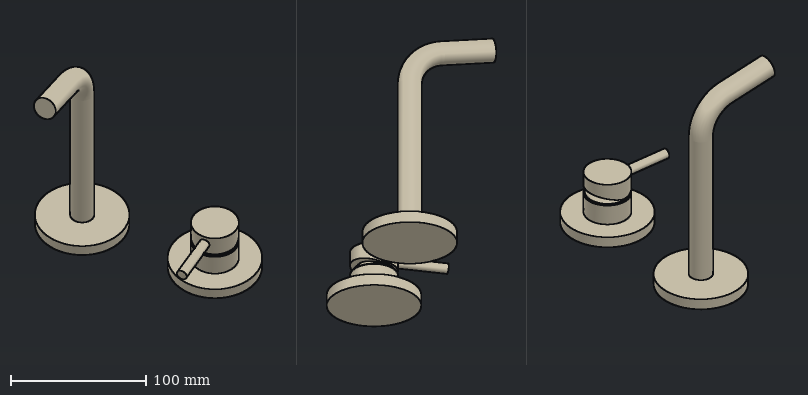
import cadquery as cq
import math

plate_diameter = 70.0
plate_height = 9.0
valve_offset = 109.0

spout_radius = 9.0
spout_bend_radius = 29.0
spout_rise_angle = math.radians(10.0)
spout_reach = 64.78
spout_top = 174.38

valve_radius = 17.75
body_top = 26.1
rim_chamfer = 0.5
collar_radius = 16.75
collar_height = 0.5
cone_slope_angle = math.radians(50.0)

knob_bottom = 28.3
knob_top = 44.0
knob_crown = 0.4
knob_slope_angle = math.radians(15.0)

lever_radius = 4.0
lever_height = 37.1
lever_edge_reach = 56.0
lever_crown = 0.5


def plate(x_position):
    disc = cq.Workplane("XY").circle(plate_diameter / 2).extrude(plate_height)
    return disc.translate((x_position, 0, 0))


def spout():
    cos_rise = math.cos(spout_rise_angle)
    sin_rise = math.sin(spout_rise_angle)
    outlet_y = -(spout_reach - spout_radius * sin_rise)
    outlet_z = spout_top - spout_radius * cos_rise

    bend_y = -spout_bend_radius
    bend_end_y = bend_y + spout_bend_radius * sin_rise
    arm_run = bend_end_y - outlet_y
    bend_end_z = outlet_z - arm_run * math.tan(spout_rise_angle)
    bend_start_z = bend_end_z - spout_bend_radius * cos_rise

    half_turn = (math.pi / 2 - spout_rise_angle) / 2
    bend_mid_y = bend_y + spout_bend_radius * math.cos(half_turn)
    bend_mid_z = bend_start_z + spout_bend_radius * math.sin(half_turn)

    centre_line = (
        cq.Workplane("YZ")
        .moveTo(0, plate_height)
        .lineTo(0, bend_start_z)
        .threePointArc((bend_mid_y, bend_mid_z), (bend_end_y, bend_end_z))
        .lineTo(outlet_y, outlet_z)
    )
    section = cq.Workplane("XY", origin=(0, 0, plate_height)).circle(spout_radius)
    return section.sweep(centre_line)


def valve_body():
    cone_base = body_top + collar_height
    cone_end_radius = collar_radius / 2
    cone_end = cone_base + (collar_radius - cone_end_radius) * math.tan(cone_slope_angle)
    profile = (
        cq.Workplane("XZ")
        .moveTo(0, plate_height)
        .lineTo(valve_radius, plate_height)
        .lineTo(valve_radius, body_top - rim_chamfer)
        .lineTo(valve_radius - rim_chamfer, body_top)
        .lineTo(collar_radius, body_top)
        .lineTo(collar_radius, cone_base)
        .lineTo(cone_end_radius, cone_end)
        .lineTo(0, cone_end)
        .close()
    )
    return profile.revolve(360, (0, 0, 0), (0, 1, 0))


def crowned_rod(radius, start, edge, crown):
    """Rod along Z from start to edge, closed by a shallow spherical crown."""
    crown_radius = (radius**2 + crown**2) / (2 * crown)
    mid_radius = radius / 2
    mid_crown = crown - crown_radius + math.sqrt(crown_radius**2 - mid_radius**2)
    profile = (
        cq.Workplane("XZ")
        .moveTo(0, start)
        .lineTo(radius, start)
        .lineTo(radius, edge)
        .threePointArc((mid_radius, edge + mid_crown), (0, edge + crown))
        .close()
    )
    return profile.revolve(360, (0, 0, 0), (0, 1, 0))


def knob():
    rod = crowned_rod(valve_radius, knob_bottom, knob_top, knob_crown)
    slope_rise = valve_radius * math.tan(knob_slope_angle)
    wedge = (
        cq.Workplane("YZ")
        .moveTo(0, knob_bottom)
        .lineTo(valve_radius, knob_bottom)
        .lineTo(valve_radius, knob_bottom + slope_rise)
        .close()
        .extrude(valve_radius, both=True)
    )
    return rod.cut(wedge)


def lever():
    rod = crowned_rod(lever_radius, 0, lever_edge_reach, lever_crown)
    return rod.rotate((0, 0, 0), (1, 0, 0), 90).translate((0, 0, lever_height))


def valve():
    whole = valve_body().union(knob()).union(lever())
    return whole.translate((valve_offset, 0, 0))


plates = [plate(x_position).val() for x_position in (0, valve_offset)]

result = cq.Compound.makeCompound([*plates, spout().val(), *valve().vals()])